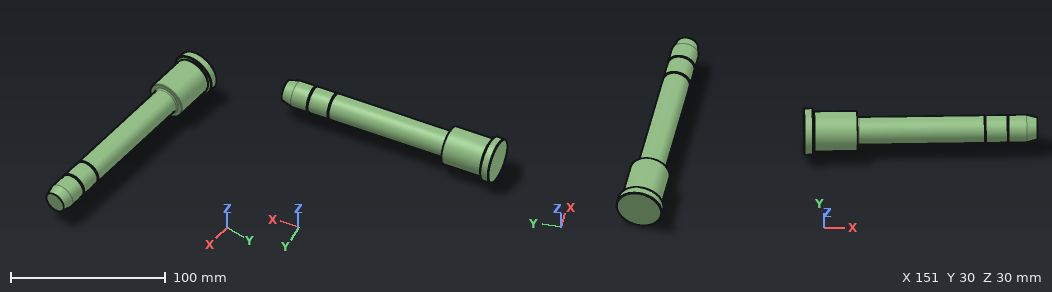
import cadquery as cq

length = 151.0
head_diameter = 30.0
body_diameter = 26.0
shaft_diameter = 18.0
tip_diameter = 14.3

head_end = 6.0
body_end = 34.6
taper_start = 143.9
groove_starts = (116.7, 131.5)

head_chamfer = 0.5
body_edge_radius = 0.5
shaft_root_radius = 0.9
undercut_width = 0.9
undercut_depth = 0.6
groove_radius = 0.5


def cylinder(diameter, start, end):
    return cq.Workplane("YZ").workplane(offset=start).circle(diameter / 2).extrude(end - start)


def make_head():
    return cylinder(head_diameter, 0, head_end).edges().chamfer(head_chamfer)


def make_body():
    """Shoulder with a rounded front edge and a sloped undercut next to the head."""
    body = cylinder(body_diameter, head_end, body_end)
    body = body.faces(">X").edges().fillet(body_edge_radius)
    radius = body_diameter / 2
    undercut = (
        cq.Workplane("XY")
        .moveTo(head_end, radius)
        .lineTo(head_end, radius - undercut_depth)
        .lineTo(head_end + undercut_width, radius)
        .close()
        .revolve(360, (0, 0, 0), (1, 0, 0))
    )
    return body.cut(undercut)


def make_shaft():
    """Shaft with a concave root at the body and a tapered tip."""
    radius = shaft_diameter / 2
    root_end = body_end + shaft_root_radius
    return (
        cq.Workplane("XY")
        .moveTo(body_end, 0)
        .lineTo(body_end, radius + shaft_root_radius)
        .radiusArc((root_end, radius), -shaft_root_radius)
        .lineTo(taper_start, radius)
        .lineTo(length, tip_diameter / 2)
        .lineTo(length, 0)
        .close()
        .revolve(360, (0, 0, 0), (1, 0, 0))
    )


def make_groove(start):
    """Half-round ring cut into the shaft surface."""
    radius = shaft_diameter / 2
    return (
        cq.Workplane("XY")
        .moveTo(start, radius)
        .threePointArc(
            (start + groove_radius, radius - groove_radius),
            (start + 2 * groove_radius, radius),
        )
        .close()
        .revolve(360, (0, 0, 0), (1, 0, 0))
    )


result = make_head().union(make_body()).union(make_shaft())
for groove_start in groove_starts:
    result = result.cut(make_groove(groove_start))